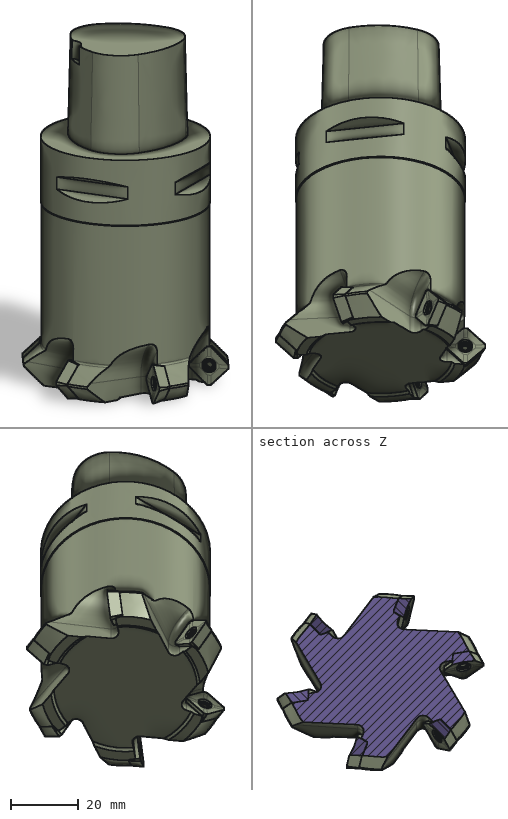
import cadquery as cq
import math


TOTAL_HEIGHT = 105.0
SHANK_LENGTH = 30.0
COLLAR_HEIGHT = 20.0
COLLAR_TOP = TOTAL_HEIGHT - SHANK_LENGTH
COLLAR_BOTTOM = COLLAR_TOP - COLLAR_HEIGHT
BODY_BOTTOM = 0.4
CUT_CLEARANCE = 1.0

COLLAR_RADIUS = 50.0 / 2
NECK_RADIUS = 49.76 / 2
COLLAR_STEP_HEIGHT = 0.3
GRIP_COUNT = 4
GRIP_FIRST_ANGLE = 45.0
GRIP_FLAT_DISTANCE = 22.1
GRIP_FLAT_HEIGHT = 3.7
GRIP_FLANK_ANGLE = 30.0
GRIP_CENTER_BELOW_COLLAR_TOP = 10.05

LOBE_COUNT = 3
FIRST_LOBE_ANGLE = 90.0
LOBE_REACH = 18.7
SIDE_REACH = 16.4
LOBE_ARC_RADIUS = 11.8
SHANK_TAPER = math.degrees(math.atan(1 / 40))
NOTCH_RADIUS = 4.5
NOTCH_DEEPEST = 14.0
NOTCH_HEIGHT = 5.6

TOOTH_COUNT = 6
TOOTH_ANGLES = [360 / TOOTH_COUNT * i for i in range(TOOTH_COUNT)]
TIP_REACH = 61.9 / 2
INSERT_REACH = 5.93
INSERT_CORNER_FLAT = 1.1
INSERT_THICKNESS = 3.6
INSERT_RELIEF = 13.0
INSERT_CENTER_X = TIP_REACH - INSERT_REACH
INSERT_CENTER_Z = INSERT_REACH
LAND_REACH = 2.9
LAND_DEPTH = 0.25
SCREW_RECESS_RADIUS = 4.2 / 2
SCREW_HEAD_RADIUS = 3.4 / 2
SCREW_HEAD_DEPTH = 0.7
SOCKET_MOUTH_RADIUS = 2.7 / 2
SOCKET_RADIUS = 2.0 / 2
SOCKET_MOUTH_DEPTH = 1.05
SOCKET_DEPTH = 2.0

HEAD_RADIUS = 30.2
HEAD_NOSE_FLAT = 0.7
HEAD_NOSE_Z = INSERT_CENTER_Z
HEAD_NECK_FILLET = 1.0

FLUTE_FLOOR_X = 17.2
FLUTE_FLOOR_TILT = 16.2
FLUTE_CLIMB = 3.0
FLUTE_ARC_START = 6.2
FLUTE_ARC_RADIUS = 13.3
FLUTE_WALL_SETBACK = 1.4
FLUTE_CORNER_RADIUS = 2.1
FLUTE_LENGTH = 60.0

RECESS_RIM_RADIUS = 22.0
RECESS_FLOOR_RADIUS = 21.1
RECESS_DEPTH = 0.6


def turned(solid, angle):
    return solid.rotate((0, 0, 0), (0, 0, 1), angle)


def polar(radius, degrees, center=(0.0, 0.0)):
    angle = math.radians(degrees)
    return (center[0] + radius * math.cos(angle), center[1] + radius * math.sin(angle))


def polygon_shank():
    """Tapered three-lobed shank whose outline is six tangent arcs, with one lobe on +Y."""
    lobe_center = LOBE_REACH - LOBE_ARC_RADIUS
    side_arc_radius = (
        LOBE_ARC_RADIUS**2 - lobe_center**2 - SIDE_REACH**2 + lobe_center * SIDE_REACH
    ) / (lobe_center - 2 * SIDE_REACH + 2 * LOBE_ARC_RADIUS)
    side_center = side_arc_radius - SIDE_REACH
    lobe_pitch = 360 / LOBE_COUNT
    across = side_center * math.sin(math.radians(lobe_pitch / 2))
    along = lobe_center + side_center * math.cos(math.radians(lobe_pitch / 2))
    joint_angle = math.degrees(math.atan2(across, along))

    def joint(lobe_angle, side):
        return polar(LOBE_ARC_RADIUS, lobe_angle + side * joint_angle, polar(lobe_center, lobe_angle))

    outline = cq.Workplane("XY").workplane(offset=COLLAR_TOP).moveTo(*joint(FIRST_LOBE_ANGLE, -1))
    for i in range(LOBE_COUNT):
        lobe_angle = FIRST_LOBE_ANGLE + i * lobe_pitch
        outline = outline.threePointArc(polar(LOBE_REACH, lobe_angle), joint(lobe_angle, 1))
        outline = outline.threePointArc(
            polar(SIDE_REACH, lobe_angle + lobe_pitch / 2), joint(lobe_angle + lobe_pitch, -1)
        )
    shank = outline.close().extrude(SHANK_LENGTH, taper=SHANK_TAPER)
    notch = (
        cq.Workplane("XY")
        .workplane(offset=TOTAL_HEIGHT - NOTCH_HEIGHT)
        .center(0, -NOTCH_DEEPEST - NOTCH_RADIUS)
        .circle(NOTCH_RADIUS)
        .extrude(NOTCH_HEIGHT)
    )
    return shank.cut(notch)


def grip_groove():
    """V groove with a flat floor, across the collar on the +X side."""
    groove_center = COLLAR_TOP - GRIP_CENTER_BELOW_COLLAR_TOP
    depth = COLLAR_RADIUS - GRIP_FLAT_DISTANCE + CUT_CLEARANCE
    half_flat = GRIP_FLAT_HEIGHT / 2
    half_mouth = half_flat + depth * math.tan(math.radians(GRIP_FLANK_ANGLE))
    return (
        cq.Workplane("XZ", origin=(GRIP_FLAT_DISTANCE, 0, groove_center))
        .polyline([(0, -half_flat), (depth, -half_mouth), (depth, half_mouth), (0, half_flat)])
        .close()
        .extrude(COLLAR_RADIUS, both=True)
    )


def collar():
    ring = cq.Workplane("XY").workplane(offset=COLLAR_BOTTOM).circle(COLLAR_RADIUS).extrude(COLLAR_HEIGHT)
    for i in range(GRIP_COUNT):
        ring = ring.cut(turned(grip_groove(), GRIP_FIRST_ANGLE + i * 360 / GRIP_COUNT))
    return ring


def neck_and_head():
    """Neck on a wider V-nosed head whose upper and lower sides slope at 45 degrees."""
    half_nose = HEAD_NOSE_FLAT / 2
    lower_side = HEAD_NOSE_Z - half_nose - BODY_BOTTOM
    neck_foot_z = HEAD_NOSE_Z + half_nose + HEAD_RADIUS - NECK_RADIUS
    blank = (
        cq.Workplane("XZ")
        .polyline(
            [
                (0, BODY_BOTTOM),
                (HEAD_RADIUS - lower_side, BODY_BOTTOM),
                (HEAD_RADIUS, HEAD_NOSE_Z - half_nose),
                (HEAD_RADIUS, HEAD_NOSE_Z + half_nose),
                (NECK_RADIUS, neck_foot_z),
                (NECK_RADIUS, COLLAR_BOTTOM - COLLAR_STEP_HEIGHT),
                (COLLAR_RADIUS, COLLAR_BOTTOM),
                (0, COLLAR_BOTTOM),
            ]
        )
        .close()
        .revolve(360, (0, 0, 0), (0, 1, 0))
    )
    near_foot = cq.selectors.BoxSelector(
        (-HEAD_RADIUS, -HEAD_RADIUS, neck_foot_z - HEAD_NECK_FILLET),
        (HEAD_RADIUS, HEAD_RADIUS, neck_foot_z + HEAD_NECK_FILLET),
    )
    return blank.edges("%CIRCLE").edges(near_foot).fillet(HEAD_NECK_FILLET)


def chip_flute():
    """Cutter for one flute: flat floor that curves outward above, and a rounded corner at the wall."""
    tilt = math.radians(FLUTE_FLOOR_TILT)
    climb = math.radians(FLUTE_CLIMB)
    plane = cq.Plane(
        origin=(FLUTE_FLOOR_X, 0, 0),
        xDir=(math.cos(tilt), math.sin(tilt), 0),
        normal=(
            math.sin(tilt) * math.cos(climb),
            -math.cos(tilt) * math.cos(climb),
            math.sin(climb),
        ),
    )
    arc_middle = polar(FLUTE_ARC_RADIUS, (90 + 180) / 2, (FLUTE_ARC_RADIUS, FLUTE_ARC_START))
    channel = (
        cq.Workplane(plane)
        .workplane(offset=-FLUTE_LENGTH / 2)
        .moveTo(0, -FLUTE_ARC_RADIUS)
        .lineTo(0, FLUTE_ARC_START)
        .threePointArc(arc_middle, (FLUTE_ARC_RADIUS, FLUTE_ARC_START + FLUTE_ARC_RADIUS))
        .lineTo(FLUTE_ARC_RADIUS, -FLUTE_ARC_RADIUS)
        .close()
        .extrude(FLUTE_LENGTH)
    )
    half_space = 2 * FLUTE_LENGTH
    ahead_of_wall = (
        cq.Workplane("XZ", origin=(0, FLUTE_WALL_SETBACK, 0)).rect(half_space, half_space).extrude(half_space)
    )
    cutter = channel.intersect(ahead_of_wall)
    return cutter.faces(">Y").edges("not(>X or <Z)").fillet(FLUTE_CORNER_RADIUS)


def insert_octagon(workplane, reach):
    """Square standing on its corner, with each corner cut by a flat at `reach` from the center."""
    half_flat = INSERT_CORNER_FLAT / 2
    return workplane.polyline(
        [
            (reach, -half_flat),
            (reach, half_flat),
            (half_flat, reach),
            (-half_flat, reach),
            (-reach, half_flat),
            (-reach, -half_flat),
            (-half_flat, -reach),
            (half_flat, -reach),
        ]
    ).close()


def insert_plane():
    """Cutting face of the insert, with its normal pointing out of the face."""
    return cq.Workplane("XZ", origin=(INSERT_CENTER_X, 0, INSERT_CENTER_Z))


def insert_blank():
    return insert_octagon(insert_plane(), INSERT_REACH).extrude(-INSERT_THICKNESS, taper=INSERT_RELIEF)


def chip_dish():
    """Shallow hollow that slopes from the cutting edges down to the central land."""
    rim = insert_octagon(insert_plane(), INSERT_REACH)
    return insert_octagon(rim.workplane(offset=-LAND_DEPTH), LAND_REACH).loft()


def screw_recess():
    """Stepped round recess for the clamping screw head and its socket."""
    return (
        cq.Workplane("XY", origin=(INSERT_CENTER_X, 0, INSERT_CENTER_Z))
        .polyline(
            [
                (0, 0),
                (SCREW_RECESS_RADIUS, 0),
                (SCREW_RECESS_RADIUS, LAND_DEPTH),
                (SCREW_HEAD_RADIUS, SCREW_HEAD_DEPTH),
                (SOCKET_MOUTH_RADIUS, SCREW_HEAD_DEPTH),
                (SOCKET_RADIUS, SOCKET_MOUTH_DEPTH),
                (SOCKET_RADIUS, SOCKET_DEPTH),
                (0, SOCKET_DEPTH),
            ]
        )
        .close()
        .revolve(360, (0, 0, 0), (0, 1, 0))
    )


def cutting_insert():
    return insert_blank().cut(chip_dish()).cut(screw_recess())


def bottom_recess():
    return (
        cq.Workplane("XZ")
        .polyline(
            [
                (0, BODY_BOTTOM),
                (RECESS_RIM_RADIUS, BODY_BOTTOM),
                (RECESS_FLOOR_RADIUS, BODY_BOTTOM + RECESS_DEPTH),
                (0, BODY_BOTTOM + RECESS_DEPTH),
            ]
        )
        .close()
        .revolve(360, (0, 0, 0), (0, 1, 0))
    )


def cutter_body():
    body = neck_and_head()
    for angle in TOOTH_ANGLES:
        body = body.cut(turned(chip_flute(), angle))
    body = body.cut(bottom_recess())
    for angle in TOOTH_ANGLES:
        body = body.cut(turned(insert_blank(), angle))
    return body.union(collar()).union(polygon_shank())


body = cutter_body()
inserts = [turned(cutting_insert(), angle).val() for angle in TOOTH_ANGLES]
result = cq.Compound.makeCompound([body.val(), *inserts])